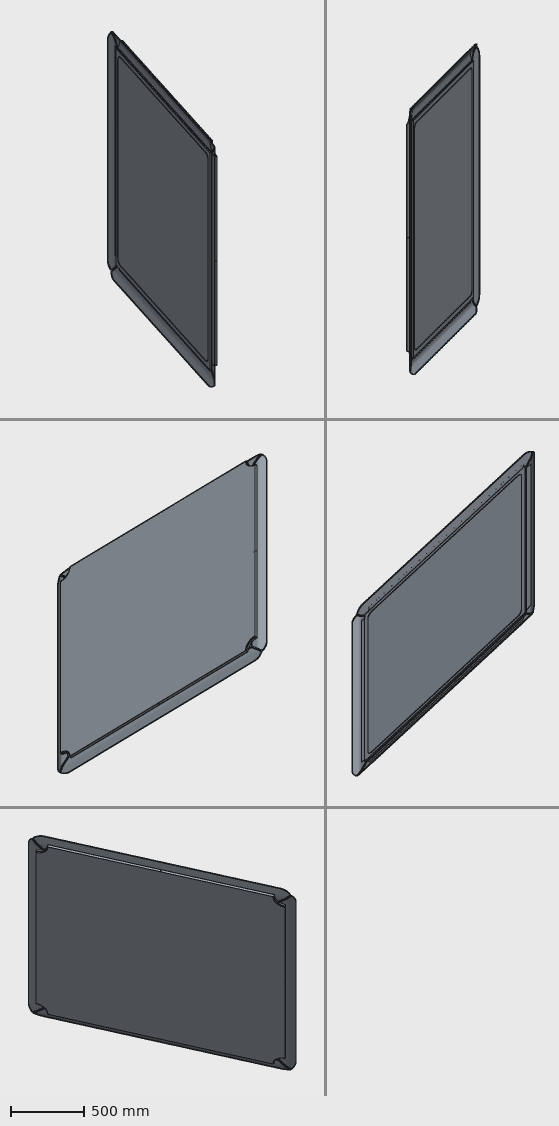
import cadquery as cq
import math

outer_side = 1900.0
overall_depth = 50.0
half_side = outer_side / 2
front_y = -overall_depth / 2
back_y = overall_depth / 2

quarter_turn = 90
side_angles = [quarter_turn * side for side in range(4)]

outer_corner_radius = 110.0
rim_width = 114.0
land_width = 48.0
sheet_thickness = 4.8
lip_angle = 24.0
bend_radius = 48.0
mitre_gap = 10.0

plate_side = 1767.0
plate_rise = 20.0
notch_radius = 80.0
notch_chamfer = 5.0

side_hole_diameter = 2.0
side_hole_depth = 19.0

panel_side = outer_side - 2 * rim_width
panel_front_y = -10.0
window_side = 1602.0
window_corner_radius = 42.0
window_depth = 2.0

lip_slope = math.radians(lip_angle)
bend_width = bend_radius * math.sin(lip_slope)
lip_width = rim_width - land_width - bend_width
bend_drop = bend_radius * (1 - math.cos(lip_slope))
lip_drop = lip_width * math.tan(lip_slope)
land_front_y = front_y + lip_drop + bend_drop
land_back_y = land_front_y + sheet_thickness
plate_depth = back_y - land_back_y


def square_prism(side, front, back):
    """A square block about the Y axis between two depths."""
    return cq.Workplane("XZ", origin=(0, back, 0)).rect(side, side).extrude(back - front)


def bend_point(radius, angle):
    """A point (y, z) on the bottom strip's bend, turned from the land by an angle."""
    bend_z = -half_side + lip_width + bend_width
    bend_y = land_front_y - bend_radius
    return (bend_y + radius * math.cos(angle), bend_z - radius * math.sin(angle))


def make_rim_strip():
    """The bottom strip: the bent sheet section, mitred at both ends and rounded at the corners."""
    back_radius = bend_radius + sheet_thickness
    land_end_z = -half_side + rim_width
    lip_back_y = front_y + sheet_thickness / math.cos(lip_slope)
    section = (
        cq.Workplane("YZ", origin=(-half_side, 0, 0))
        .moveTo(land_front_y, land_end_z)
        .lineTo(*bend_point(bend_radius, 0))
        .threePointArc(bend_point(bend_radius, lip_slope / 2), bend_point(bend_radius, lip_slope))
        .lineTo(front_y, -half_side)
        .lineTo(lip_back_y, -half_side)
        .lineTo(*bend_point(back_radius, lip_slope))
        .threePointArc(bend_point(back_radius, lip_slope / 2), bend_point(back_radius, 0))
        .lineTo(land_back_y, land_end_z)
        .close()
    )
    gap_offset = mitre_gap / math.sqrt(2)
    mitre = (
        cq.Workplane("XZ", origin=(0, back_y, 0))
        .moveTo(-half_side + gap_offset, -half_side)
        .lineTo(half_side - gap_offset, -half_side)
        .lineTo(0, -gap_offset)
        .close()
        .extrude(overall_depth)
    )
    outline = square_prism(outer_side, front_y, back_y).edges("|Y").fillet(outer_corner_radius)
    return section.extrude(outer_side).intersect(mitre).intersect(outline)


def make_back_plate():
    """The notched square plate, chamfered round the notches, with its four side holes."""
    corners = cq.Workplane("XZ", origin=(0, back_y, 0)).rect(plate_side, plate_side, forConstruction=True)
    notches = corners.vertices().circle(notch_radius).extrude(plate_depth)
    plate = square_prism(plate_side, land_back_y, back_y).cut(notches)
    plate = plate.faces(">Y").edges("%CIRCLE").chamfer(notch_chamfer)
    hole = (
        cq.Workplane("XY", origin=(0, (land_back_y + back_y) / 2, plate_side / 2 - side_hole_depth))
        .circle(side_hole_diameter / 2)
        .extrude(side_hole_depth)
    )
    for angle in side_angles:
        plate = plate.cut(hole.rotate((0, 0, 0), (0, 1, 0), angle))
    return plate.translate((0, 0, plate_rise))


def make_front_panel():
    """The square panel with a rounded window recess in its front face."""
    window_floor_y = panel_front_y + window_depth
    window = square_prism(window_side, panel_front_y, window_floor_y).edges("|Y").fillet(window_corner_radius)
    return square_prism(panel_side, panel_front_y, land_back_y).cut(window)


bottom_strip = make_rim_strip()
rim_strips = [bottom_strip.rotate((0, 0, 0), (0, 1, 0), angle) for angle in side_angles]
back_plate = make_back_plate()
front_panel = make_front_panel()

result = cq.Compound.makeCompound(
    [*[strip.val() for strip in rim_strips], back_plate.val(), front_panel.val()]
)